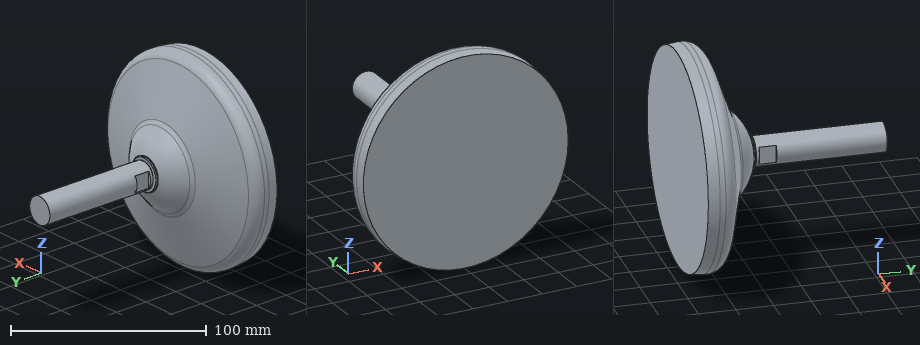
import cadquery as cq
import math

foot_radius = 60.0
underside_radius = 59.3
rim_taper_height = 6.1
shoulder_height = 9.1
shoulder_radius = 7.2
cone_angle = math.radians(20)

dome_radius = 30.4
dome_top_height = 37.8
dome_blend_radius = 5.4

bead_radius = 10.0
bead_height = 1.2
bead_edge_depth = 0.5

stem_radius = 8.0
stem_end_height = 109.0
stem_base_height = dome_top_height + bead_height
stem_base_chamfer = 0.6
flats_start_height = 41.3
flats_length = 9.1
flats_width = 13.0


def cylinder_along_y(radius, start, length):
    """Cylinder on the Y axis, running towards +Y from start."""
    return cq.Workplane("XZ", origin=(0, start, 0)).circle(radius).extrude(-length)


def make_foot_base():
    """Tapered rim, rounded shoulder and conical upper face."""
    arc_center_radius = foot_radius - shoulder_radius
    end_angle = math.pi / 2 - cone_angle
    mid_angle = end_angle / 2

    def shoulder_point(angle):
        return (
            arc_center_radius + shoulder_radius * math.cos(angle),
            shoulder_height + shoulder_radius * math.sin(angle),
        )

    cone_start_radius, cone_start_height = shoulder_point(end_angle)
    apex_height = cone_start_height + cone_start_radius * math.tan(cone_angle)
    return (
        cq.Workplane("XY")
        .lineTo(underside_radius, 0)
        .lineTo(foot_radius, rim_taper_height)
        .lineTo(foot_radius, shoulder_height)
        .threePointArc(shoulder_point(mid_angle), shoulder_point(end_angle))
        .lineTo(0, apex_height)
        .close()
        .revolve(360, (0, 0, 0), (0, 1, 0))
    )


def make_dome():
    """Sphere cut flat at its top and where it is buried in the foot."""
    sphere = cq.Workplane("XY").sphere(dome_radius).translate((0, shoulder_height, 0))
    slab = cylinder_along_y(dome_radius, shoulder_height, dome_top_height - shoulder_height)
    return sphere.intersect(slab)


def make_bead():
    """Thin disc with a pointed edge, lying on the flat of the dome."""
    flat_radius = bead_radius - bead_edge_depth
    return (
        cq.Workplane("XY")
        .moveTo(0, dome_top_height)
        .lineTo(flat_radius, dome_top_height)
        .lineTo(bead_radius, dome_top_height + bead_height / 2)
        .lineTo(flat_radius, stem_base_height)
        .lineTo(0, stem_base_height)
        .close()
        .revolve(360, (0, 0, 0), (0, 1, 0))
    )


def make_foot():
    """Foot with its dome blended into the cone, and the collar bead."""
    joint_low = shoulder_height + shoulder_radius
    joint_high = dome_top_height - bead_height
    joint_zone = cq.selectors.BoxSelector(
        (-foot_radius, joint_low, -foot_radius),
        (foot_radius, joint_high, foot_radius),
    )
    body = make_foot_base().union(make_dome())
    joint = body.edges(joint_zone).edges("%CIRCLE")
    return joint.fillet(dome_blend_radius).union(make_bead())


def make_stem():
    """Round stem standing on the bead, with flats facing -X and +X."""
    stem = cylinder_along_y(stem_radius, stem_base_height, stem_end_height - stem_base_height)
    stem = stem.faces("<Y").chamfer(stem_base_chamfer)
    flats_middle = flats_start_height + flats_length / 2
    for side in (-1, 1):
        cutter = cq.Workplane("XY").box(stem_radius, flats_length, 2 * stem_radius)
        offset = side * (flats_width + stem_radius) / 2
        stem = stem.cut(cutter.translate((offset, flats_middle, 0)))
    return stem


foot = make_foot()
stem = make_stem()
result = cq.Compound.makeCompound([foot.solids().val(), stem.solids().val()])